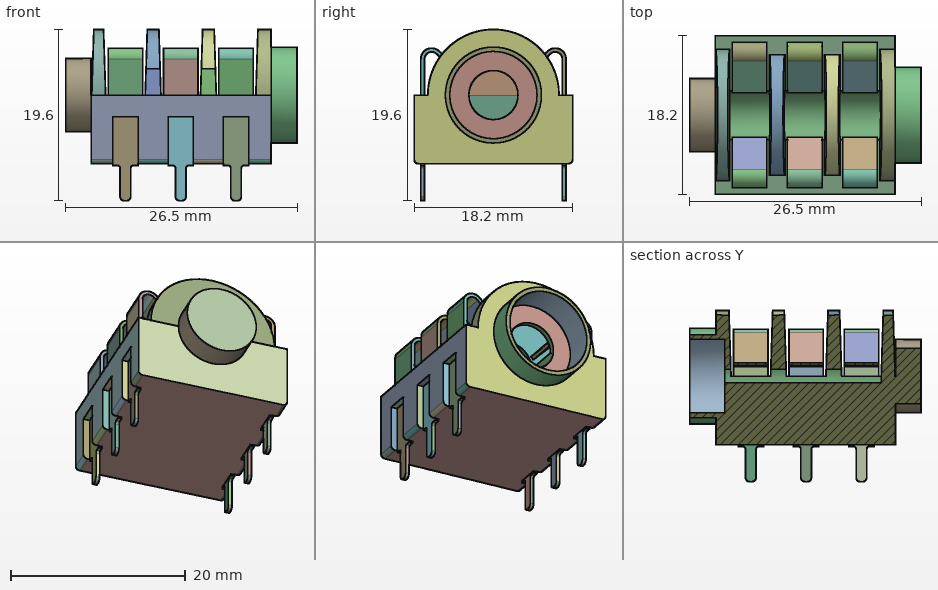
import cadquery as cq
import math

TOTAL_LENGTH = 26.53
REAR_BOSS_LENGTH = 2.92
REAR_BOSS_DIAMETER = 8.44
FRONT_BUSH_LENGTH = 3.0
FRONT_BUSH_DIAMETER = 11.0
BORE_DIAMETER = 5.62
COUNTERBORE_DIAMETER = 10.0
COUNTERBORE_DEPTH = 4.0

BLOCK_WIDTH = 18.2
BLOCK_HEIGHT = 7.88
BLOCK_BOTTOM_ROUND = 0.5
BLOCK_START = REAR_BOSS_LENGTH
BLOCK_END = TOTAL_LENGTH - FRONT_BUSH_LENGTH

WALL_RADIUS = 7.53
INNER_WALL_WIDTH = 13.8
WALL_SETBACK = 0.05
WALL_DRAFT = 0.25
CHANNEL_WIDTH = 4.5

CONTACT_PITCH = 6.35
CONTACT_MIDDLE = 13.19
CONTACT_CENTERS = [CONTACT_MIDDLE + i * CONTACT_PITCH for i in (-1, 0, 1)]
CONTACT_WIDTH = 3.98
CONTACT_THICKNESS = 0.45
CONTACT_OUTER_Y = 8.33
CONTACT_TOP = 5.39
CONTACT_BEND_RADIUS = 1.25
CONTACT_SLOPE = math.radians(45)
CONTACT_TIP_Y = 2.55

TAIL_WIDTH = 2.92
TAIL_TOP = -2.47
SHOULDER_Z = -8.1
NECK_ROUND = 0.27
PIN_WIDTH = 1.25
PIN_BOTTOM = -12.12
PIN_TIP_ROUND = 0.5


def x_cylinder(diameter, start, end):
    """Cylinder on the plug axis between two X positions."""
    return cq.Workplane("YZ", origin=(start, 0, 0)).circle(diameter / 2).extrude(end - start)


def make_block():
    block = cq.Workplane("XY").box(
        BLOCK_END - BLOCK_START, BLOCK_WIDTH, BLOCK_HEIGHT, centered=(False, True, False)
    )
    block = block.translate((BLOCK_START, 0, -BLOCK_HEIGHT))
    return block.edges("|X and <Z").fillet(BLOCK_BOTTOM_ROUND)


def make_wall(start, end, start_draft, end_draft, width):
    """Half-disc wall whose drafted faces lean inward towards the top."""
    side_profile = [
        (start, 0),
        (end, 0),
        (end - end_draft, WALL_RADIUS),
        (start + start_draft, WALL_RADIUS),
    ]
    tapered_slab = cq.Workplane("XZ").polyline(side_profile).close().extrude(width / 2, both=True)
    return tapered_slab.intersect(x_cylinder(2 * WALL_RADIUS, start, end))


def make_walls():
    channel_starts = [x - CHANNEL_WIDTH / 2 for x in CONTACT_CENTERS]
    channel_ends = [x + CHANNEL_WIDTH / 2 for x in CONTACT_CENTERS]
    full_width = 2 * WALL_RADIUS
    walls = make_wall(BLOCK_START + WALL_SETBACK, channel_starts[0], WALL_DRAFT, WALL_DRAFT, full_width)
    for start, end in zip(channel_ends[:-1], channel_starts[1:]):
        walls = walls.union(make_wall(start, end, WALL_DRAFT, WALL_DRAFT, INNER_WALL_WIDTH))
    return walls.union(make_wall(channel_ends[-1], BLOCK_END, WALL_DRAFT, 0, full_width))


def make_spring(x):
    """Strip on the -Y side: upright leg, bend over the top and straight slope towards the bore."""
    inner_radius = CONTACT_BEND_RADIUS - CONTACT_THICKNESS
    bend_y = -CONTACT_OUTER_Y + CONTACT_BEND_RADIUS
    bend_z = CONTACT_TOP - CONTACT_BEND_RADIUS

    def slope_start(radius):
        return (
            bend_y + radius * math.sin(CONTACT_SLOPE),
            bend_z + radius * math.cos(CONTACT_SLOPE),
        )

    outer_tangent = slope_start(CONTACT_BEND_RADIUS)
    inner_tangent = slope_start(inner_radius)
    run_y = -CONTACT_TIP_Y - outer_tangent[0]
    run_z = -run_y * math.tan(CONTACT_SLOPE)
    return (
        cq.Workplane("YZ", origin=(x - CONTACT_WIDTH / 2, 0, 0))
        .moveTo(-CONTACT_OUTER_Y, TAIL_TOP)
        .lineTo(-CONTACT_OUTER_Y, bend_z)
        .threePointArc((bend_y, CONTACT_TOP), outer_tangent)
        .lineTo(outer_tangent[0] + run_y, outer_tangent[1] + run_z)
        .lineTo(inner_tangent[0] + run_y, inner_tangent[1] + run_z)
        .lineTo(*inner_tangent)
        .threePointArc((bend_y, bend_z + inner_radius), (bend_y - inner_radius, bend_z))
        .lineTo(bend_y - inner_radius, TAIL_TOP)
        .close()
        .extrude(CONTACT_WIDTH)
    )


def make_tail(x):
    """Flat tail on the -Y side, necked down to a round-cornered solder pin."""
    plane = cq.Workplane("XZ", origin=(x, -CONTACT_OUTER_Y, 0))
    plate = (
        plane.center(0, (TAIL_TOP + SHOULDER_Z) / 2)
        .rect(TAIL_WIDTH, TAIL_TOP - SHOULDER_Z)
        .extrude(-CONTACT_THICKNESS)
    )
    pin = (
        plane.center(0, (TAIL_TOP + PIN_BOTTOM) / 2)
        .rect(PIN_WIDTH, TAIL_TOP - PIN_BOTTOM)
        .extrude(-CONTACT_THICKNESS)
        .edges("|Y and <Z")
        .fillet(PIN_TIP_ROUND)
    )
    neck_corners = cq.selectors.BoxSelector(
        (x - TAIL_WIDTH / 4, -BLOCK_WIDTH, SHOULDER_Z - NECK_ROUND),
        (x + TAIL_WIDTH / 4, 0, SHOULDER_Z + NECK_ROUND),
    )
    return plate.union(pin).edges("|Y").edges(neck_corners).fillet(NECK_ROUND)


def make_slot(x):
    """Cutter for the open-bottomed slot in the -Y side of the block."""
    depth = BLOCK_WIDTH / 2 - CONTACT_OUTER_Y
    height = BLOCK_HEIGHT + TAIL_TOP
    cutter = cq.Workplane("XY").box(TAIL_WIDTH, depth, height, centered=(True, False, False))
    return cutter.translate((x, -BLOCK_WIDTH / 2, -BLOCK_HEIGHT))


body = make_block().union(make_walls())
body = body.union(x_cylinder(REAR_BOSS_DIAMETER, 0, BLOCK_START))
body = body.union(x_cylinder(FRONT_BUSH_DIAMETER, BLOCK_END, TOTAL_LENGTH))

body = body.cut(x_cylinder(BORE_DIAMETER, CONTACT_CENTERS[0] - CHANNEL_WIDTH / 2, TOTAL_LENGTH))
body = body.cut(x_cylinder(COUNTERBORE_DIAMETER, TOTAL_LENGTH - COUNTERBORE_DEPTH, TOTAL_LENGTH))

for center in CONTACT_CENTERS:
    slot = make_slot(center)
    contact = make_spring(center).union(make_tail(center))
    body = body.cut(slot).cut(slot.mirror("XZ"))
    body = body.union(contact).union(contact.mirror("XZ"))

result = body